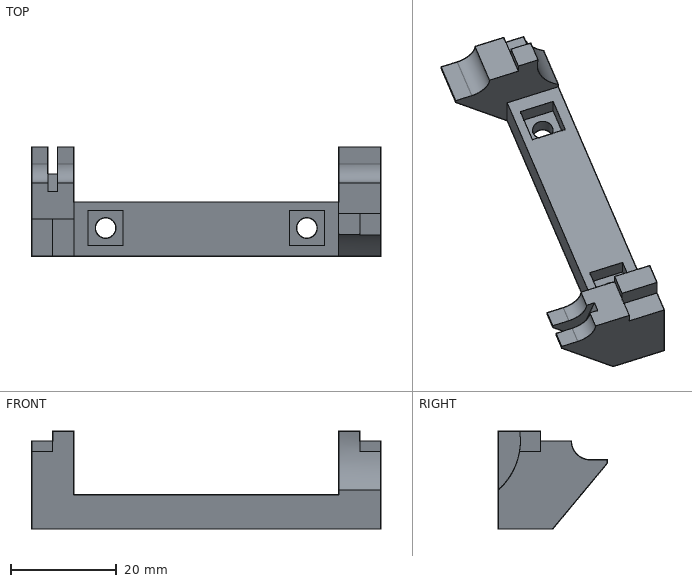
import cadquery as cq

length = 66.0
height = 18.55
depth = 20.65
post_width = 8.0
bar_height = 6.55
bar_depth = 10.3

shoulder_height = 16.7
scoop_radius = 3.55
scoop_center_y = 17.4
tip_underside = 12.5
step_height = 14.7
left_step_depth = 7.05
tab_width = post_width / 2

right_tab_back = 8.05
arch_radius = 12.4
arch_deepest_y = 4.2
arch_center_y = arch_deepest_y - arch_radius

slot_start_x = 3.1
slot_width = 1.8
slot_top_y = 12.3
slot_bottom_y = 15.6

pocket_size = 6.6
pocket_depth = 3.4
hole_diameter = 3.8
hole_spacing = 38.0
hole_center_y = 5.35


def block(x_range, y_range, z_range):
    """Box spanning the given limits along each axis."""
    size = [high - low for low, high in (x_range, y_range, z_range)]
    corner = (x_range[0], y_range[0], z_range[0])
    return cq.Workplane("XY").box(*size, centered=False).translate(corner)


def post(start_x):
    """End post with a sloped underside and a scooped rear shoulder."""
    scoop_floor = shoulder_height - scoop_radius
    profile = (
        cq.Workplane("YZ", origin=(start_x, 0, 0))
        .polyline([(0, 0), (bar_depth, 0), (depth, tip_underside), (depth, scoop_floor)])
        .lineTo(scoop_center_y, scoop_floor)
        .radiusArc((scoop_center_y - scoop_radius, shoulder_height), scoop_radius)
        .lineTo(0, shoulder_height)
        .close()
    )
    return profile.extrude(post_width)


def left_post():
    """Post with a raised inner tab, a lowered outer step and a rear slot."""
    step_y = (0, left_step_depth)
    tab = block((tab_width, post_width), step_y, (bar_height, height))
    step = block((0, tab_width), step_y, (step_height, height))
    underside_slope = tip_underside / (depth - bar_depth)
    slot_bottom_z = (slot_bottom_y - bar_depth) * underside_slope
    slot = (
        cq.Workplane("YZ", origin=(slot_start_x, 0, 0))
        .polyline([
            (slot_top_y, shoulder_height),
            (slot_bottom_y, slot_bottom_z),
            (depth, slot_bottom_z),
            (depth, shoulder_height),
        ])
        .close()
        .extrude(slot_width)
    )
    return post(0).union(tab).cut(step).cut(slot)


def right_post():
    """Post with a raised inner tab, a lowered outer step and an arched front."""
    inner_x = length - post_width
    step_x = inner_x + tab_width
    tab_y = (0, right_tab_back)
    tab = block((inner_x, step_x), tab_y, (bar_height, height))
    step = block((step_x, length), tab_y, (step_height, height))
    arch = (
        cq.Workplane("YZ", origin=(inner_x, 0, 0))
        .center(arch_center_y, shoulder_height)
        .circle(arch_radius)
        .extrude(post_width)
    )
    return post(inner_x).union(tab).cut(step).cut(arch)


def screw_seat(center_x):
    """Square pocket with a through hole in its floor."""
    pocket = (
        cq.Workplane("XY", origin=(center_x, hole_center_y, bar_height - pocket_depth))
        .rect(pocket_size, pocket_size)
        .extrude(pocket_depth)
    )
    hole = cq.Workplane("XY", origin=(center_x, hole_center_y, 0)).circle(hole_diameter / 2).extrude(bar_height)
    return pocket.union(hole)


bar = block((post_width, length - post_width), (0, bar_depth), (0, bar_height))
result = bar.union(left_post()).union(right_post())
for side in (-1, 1):
    result = result.cut(screw_seat(length / 2 + side * hole_spacing / 2))